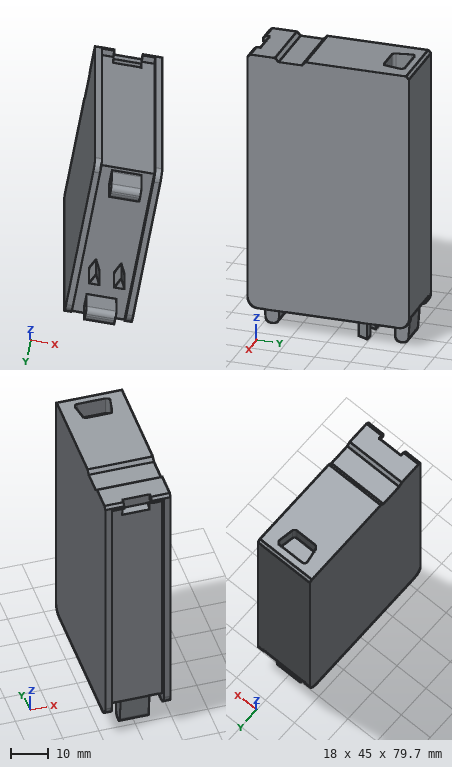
import cadquery as cq


width = 18.0
depth = 45.0
total_height = 79.7
pin_drop = 6.5
height = total_height - pin_drop
wall = 1.8
top_lip = 1.6
floor_z = 2.9
bottom_radius = 2.9
top_chamfer = 0.8

groove_front = 7.65
groove_rear = 16.2
groove_depth = 1.0

notch_width = 7.6
slot_height = 2.4
slot_top_z = height - 2.9
slot_depth = 2.4
slot_ramp = 0.8

pocket_rear_y = depth - 2.9
pocket_length = 6.05
pocket_rear_width = 10.05
pocket_front_width = 7.8
pocket_depth = 5.1
pocket_corner_radius = 0.95

foot_width = 8.0
foot_length = 4.2
foot_tip_length = 3.6
foot_taper_z = 1.75
foot_tip_radius = 1.6
front_foot_drop = 6.05
rear_foot_drop = 6.4
front_foot_y = 2.8
rear_foot_y = depth - 1.35

pin_spacing = 6.8
pin_width = 2.8
pin_length = 2.9
pin_front_y = 29.1


def block(x_size, y_min, y_max, z_min, z_max):
    """Box centred on X = 0 between the given Y and Z limits."""
    box = cq.Workplane("XY").box(x_size, y_max - y_min, z_max - z_min, centered=(True, False, False))
    return box.translate((0, y_min, z_min))


def side_extrusion(points, x_size):
    """Closed (Y, Z) outline extruded symmetrically about X = 0."""
    return cq.Workplane("YZ").polyline(points).close().extrude(x_size / 2, both=True)


def make_shell_block():
    body = block(width, 0, depth, 0, height)
    body = body.edges("|X and <Z").fillet(bottom_radius)
    body = body.edges("|X and >Z").chamfer(top_chamfer)
    groove = side_extrusion(
        [
            (groove_front, height),
            (groove_front + groove_depth, height - groove_depth),
            (groove_rear - groove_depth, height - groove_depth),
            (groove_rear, height),
        ],
        width,
    )
    return body.cut(groove)


def make_front_cuts():
    inner_width = width - 2 * wall
    recess = block(inner_width, 0, wall, 0, height - top_lip)
    notch = block(notch_width, 0, wall, height - top_lip, height)
    slot_bottom_z = slot_top_z - slot_height
    slot = side_extrusion(
        [
            (wall, slot_bottom_z),
            (wall + slot_depth, slot_bottom_z + slot_ramp),
            (wall + slot_depth, slot_top_z),
            (wall, slot_top_z),
        ],
        notch_width,
    )
    return recess.union(notch).union(slot)


def make_pocket():
    pocket_front_y = pocket_rear_y - pocket_length
    outline = [
        (-pocket_rear_width / 2, pocket_rear_y),
        (pocket_rear_width / 2, pocket_rear_y),
        (pocket_front_width / 2, pocket_front_y),
        (-pocket_front_width / 2, pocket_front_y),
    ]
    pocket = cq.Workplane("XY").workplane(offset=height).polyline(outline).close().extrude(-pocket_depth)
    return pocket.edges("|Z").fillet(pocket_corner_radius)


def make_housing():
    underside = block(width - 2 * wall, 0, depth, 0, floor_z)
    return make_shell_block().cut(underside).cut(make_front_cuts()).cut(make_pocket())


def make_foot(outer_y, inward, drop):
    """Foot whose tapered side starts at outer_y; inward is +1 or -1 along Y."""
    inner_y = outer_y + inward * foot_length
    foot = side_extrusion(
        [
            (outer_y, floor_z),
            (inner_y, floor_z),
            (inner_y, -drop),
            (inner_y - inward * foot_tip_length, -drop),
            (outer_y, foot_taper_z),
        ],
        foot_width,
    )
    return foot.edges("|X and <Z").fillet(foot_tip_radius)


def make_pin(center_x):
    pin_rear_y = pin_front_y + pin_length
    outline = [
        (center_x, pin_front_y),
        (center_x + pin_width / 2, pin_rear_y),
        (center_x - pin_width / 2, pin_rear_y),
    ]
    pin = cq.Workplane("XY").workplane(offset=-pin_drop).polyline(outline).close()
    return pin.extrude(pin_drop + floor_z)


housing = make_housing()

feet = []
for outer_y, inward, drop in [(front_foot_y, 1, front_foot_drop), (rear_foot_y, -1, rear_foot_drop)]:
    feet.append(make_foot(outer_y, inward, drop))

pins = []
for side in (-1, 1):
    pins.append(make_pin(side * pin_spacing / 2))

result = cq.Compound.makeCompound(
    [housing.val(), *[foot.val() for foot in feet], *[pin.val() for pin in pins]]
)